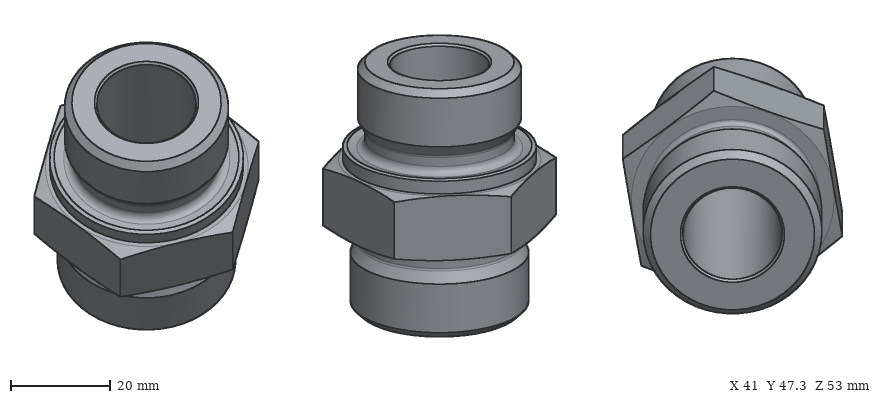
import cadquery as cq
import math

total_height = 53.0
hex_across_flats = 41.0
hex_bottom = 18.0
hex_height = 14.0
hex_top = hex_bottom + hex_height
hex_chamfer_circle = 40.8
hex_chamfer_angle = 15.0

lower_thread_radius = 36.0 / 2
upper_thread_radius = 33.0 / 2
thread_length = 12.0
end_chamfer = 1.5
relief_depth = 1.5
relief_angle = 30.0
relief_radius = 1.0
lower_neck_radius = lower_thread_radius - relief_depth
upper_neck_radius = upper_thread_radius - relief_depth
lower_shoulder_radius = 1.0
upper_shoulder_radius = 1.7

collar_radius = 39.0 / 2
sealing_edge_radius = 18.6
sealing_edge_top = 35.0
collar_edge_drop = 0.2
collar_face_dip = 0.35

bore_diameter = 20.0
bore_chamfer = 0.5


def add_relief(profile, thread_radius, thread_end, toward_hex):
    """Continue a half profile from the thread edge down a cone blended into the neck."""
    angle = math.radians(relief_angle)
    neck_radius = thread_radius - relief_depth
    cone_length = relief_depth / math.tan(angle)
    tangent_length = relief_radius * math.tan(angle / 2)
    corner = thread_end + toward_hex * cone_length
    arc_center_x = neck_radius + relief_radius
    arc_center_z = corner + toward_hex * tangent_length

    def arc_point(turn):
        return (
            arc_center_x - relief_radius * math.cos(turn),
            arc_center_z - toward_hex * relief_radius * math.sin(turn),
        )

    return (
        profile.lineTo(*arc_point(angle))
        .threePointArc(arc_point(angle / 2), arc_point(0))
    )


def make_lower_end():
    shoulder_start = hex_bottom - lower_shoulder_radius
    shoulder_outer = lower_neck_radius + lower_shoulder_radius
    shoulder_mid = lower_shoulder_radius * math.sqrt(0.5)
    profile = (
        cq.Workplane("XZ")
        .lineTo(lower_thread_radius - end_chamfer, 0)
        .lineTo(lower_thread_radius, end_chamfer)
        .lineTo(lower_thread_radius, thread_length)
    )
    return (
        add_relief(profile, lower_thread_radius, thread_length, 1)
        .lineTo(lower_neck_radius, shoulder_start)
        .threePointArc(
            (shoulder_outer - shoulder_mid, shoulder_start + shoulder_mid),
            (shoulder_outer, hex_bottom),
        )
        .lineTo(shoulder_outer, hex_top)
        .lineTo(0, hex_top)
        .close()
        .revolve()
    )


def make_upper_end():
    shoulder_bottom = sealing_edge_top - collar_face_dip
    shoulder_start = shoulder_bottom + upper_shoulder_radius
    shoulder_outer = upper_neck_radius + upper_shoulder_radius
    shoulder_mid = upper_shoulder_radius * math.sqrt(0.5)
    profile = (
        cq.Workplane("XZ")
        .moveTo(0, total_height)
        .lineTo(upper_thread_radius - end_chamfer, total_height)
        .lineTo(upper_thread_radius, total_height - end_chamfer)
        .lineTo(upper_thread_radius, total_height - thread_length)
    )
    return (
        add_relief(profile, upper_thread_radius, total_height - thread_length, -1)
        .lineTo(upper_neck_radius, shoulder_start)
        .threePointArc(
            (shoulder_outer - shoulder_mid, shoulder_start - shoulder_mid),
            (shoulder_outer, shoulder_bottom),
        )
        .lineTo(sealing_edge_radius, sealing_edge_top)
        .lineTo(collar_radius, sealing_edge_top - collar_edge_drop)
        .lineTo(collar_radius, hex_bottom)
        .lineTo(0, hex_bottom)
        .close()
        .revolve()
    )


def make_hexagon():
    """Hexagon with corners on the Y axis, its corners cut by a cone at both ends."""
    across_corners = hex_across_flats / math.cos(math.radians(30))
    prism = (
        cq.Workplane("XY", origin=(0, 0, hex_bottom))
        .transformed(rotate=(0, 0, 90))
        .polygon(6, across_corners)
        .extrude(hex_height)
    )
    circle_radius = hex_chamfer_circle / 2
    corner_radius = across_corners / 2
    drop = (corner_radius - circle_radius) * math.tan(math.radians(hex_chamfer_angle))
    envelope = (
        cq.Workplane("XZ")
        .moveTo(0, hex_bottom)
        .lineTo(circle_radius, hex_bottom)
        .lineTo(corner_radius, hex_bottom + drop)
        .lineTo(corner_radius, hex_top - drop)
        .lineTo(circle_radius, hex_top)
        .lineTo(0, hex_top)
        .close()
        .revolve()
    )
    return prism.intersect(envelope)


def make_bore():
    bore_radius = bore_diameter / 2
    mouth_radius = bore_radius + bore_chamfer
    return (
        cq.Workplane("XZ")
        .lineTo(mouth_radius, 0)
        .lineTo(bore_radius, bore_chamfer)
        .lineTo(bore_radius, total_height - bore_chamfer)
        .lineTo(mouth_radius, total_height)
        .lineTo(0, total_height)
        .close()
        .revolve()
    )


body = make_hexagon().union(make_lower_end()).union(make_upper_end())
result = body.cut(make_bore())